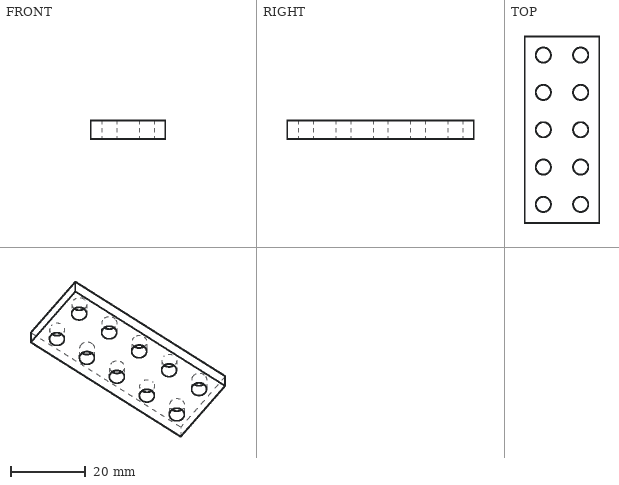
import cadquery as cq

length = 50.0
width = 20.0
thickness = 5.0

hole_diameter = 4.0
columns = 2
rows = 5
column_pitch = width / columns
row_pitch = length / rows

plate = cq.Workplane("XY").box(width, length, thickness)

result = (
    plate.faces(">Z")
    .workplane()
    .rarray(column_pitch, row_pitch, columns, rows)
    .hole(hole_diameter)
)